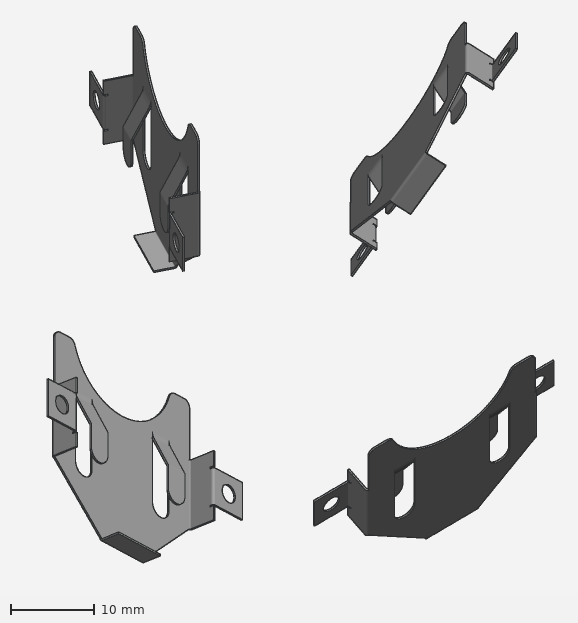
import cadquery as cq
import math


thickness = 0.25
fold_inner_radius = 0.1
fold_size = fold_inner_radius + thickness

overall_width = 35.55
overall_depth = 3.95
overall_height = 25.4

flange_outer_x = 12.7
plate_half_width = flange_outer_x - fold_size
plate_top = overall_height / 2
plate_bottom = -overall_height / 2 + fold_size
notch_radius = 9.15
notch_bottom = 5.75
corner_radius = 1.0

lip_width = 7.6
lip_depth = 3.0

flange_top = 4.75
flange_bottom = -4.65

ear_height = 5.05
ear_hole_diameter = 2.4
ear_hole_x = 15.25
relief_width = 0.18
relief_depth = 0.57

finger_x = 7.05
finger_width = 3.02
finger_top = 5.83
finger_tip = -4.2
finger_reach = 2.77
finger_angle = 27.5
finger_root_radius = 2.05
slot_bottom = -5.2


def straight(length):
    """Flat stretch of a strip."""
    return length, 0, 0


def bend(angle, inner_radius):
    """Curved stretch of a strip; a positive angle turns left."""
    return 0, angle, inner_radius + thickness / 2


def strip_profile(plane, start, heading, steps):
    """Closed edge-on outline of a sheet strip whose middle line follows the steps."""

    def side_point(point, direction, side):
        offset = side * thickness / 2
        return point[0] - offset * math.sin(direction), point[1] + offset * math.cos(direction)

    def advance(point, direction, length, turn, radius):
        chord = length if turn == 0 else 2 * radius * math.sin(abs(turn) / 2)
        chord_direction = direction + turn / 2
        end = (
            point[0] + chord * math.cos(chord_direction),
            point[1] + chord * math.sin(chord_direction),
        )
        return end, direction + turn

    frame = (start, math.radians(heading))
    stretches = []
    for length, angle, radius in steps:
        turn = math.radians(angle)
        middle = advance(*frame, length / 2, turn / 2, radius)
        end = advance(*frame, length, turn, radius)
        stretches.append((frame, middle, end, angle != 0))
        frame = end

    def trace(outline, middle, end, curved, side):
        if curved:
            return outline.threePointArc(side_point(*middle, side), side_point(*end, side))
        return outline.lineTo(*side_point(*end, side))

    outline = cq.Workplane(plane).moveTo(*side_point(*stretches[0][0], 1))
    for _, middle, end, curved in stretches:
        outline = trace(outline, middle, end, curved, 1)
    outline = outline.lineTo(*side_point(*frame, -1))
    for begin, middle, _, curved in reversed(stretches):
        outline = trace(outline, middle, begin, curved, -1)
    return outline.close()


def make_plate():
    outline = (
        cq.Workplane("XZ")
        .moveTo(-lip_width / 2, plate_bottom)
        .lineTo(lip_width / 2, plate_bottom)
        .lineTo(plate_half_width, flange_bottom)
        .lineTo(plate_half_width, plate_top)
        .lineTo(-plate_half_width, plate_top)
        .lineTo(-plate_half_width, flange_bottom)
        .close()
    )
    plate = outline.extrude(thickness)
    notch = (
        cq.Workplane("XZ")
        .center(0, notch_bottom + notch_radius)
        .circle(notch_radius)
        .extrude(thickness)
    )
    top_corners = cq.selectors.BoxSelector(
        (-plate_half_width - thickness, -2 * thickness, plate_top - thickness),
        (plate_half_width + thickness, thickness, plate_top + thickness),
    )
    return plate.cut(notch).edges("|Y").edges(top_corners).fillet(corner_radius)


def make_lip():
    start = (-thickness / 2, plate_bottom)
    steps = [bend(-90, fold_inner_radius), straight(lip_depth - fold_size)]
    return strip_profile("YZ", start, -90, steps).extrude(lip_width / 2, both=True)


def make_right_flange():
    start = (plate_half_width, -thickness / 2)
    flange_steps = [bend(-90, fold_inner_radius), straight(overall_depth - fold_size)]
    flange = (
        strip_profile("XY", start, 0, flange_steps)
        .extrude(flange_top - flange_bottom)
        .translate((0, 0, flange_bottom))
    )
    relief = (
        cq.Workplane("XY")
        .box(2 * fold_size, 2 * relief_depth, ear_height + 2 * relief_width)
        .translate((flange_outer_x, -overall_depth, 0))
    )

    ear_length = overall_width / 2 - (flange_outer_x - thickness + fold_size)
    ear_steps = [
        bend(-90, fold_inner_radius),
        straight(overall_depth - 2 * fold_size),
        bend(90, fold_inner_radius),
        straight(ear_length),
    ]
    ear = strip_profile("XY", start, 0, ear_steps).extrude(ear_height / 2, both=True)
    hole = (
        cq.Workplane("XZ")
        .center(ear_hole_x, 0)
        .circle(ear_hole_diameter / 2)
        .extrude(overall_depth)
    )
    return flange.cut(relief).union(ear.cut(hole))


def round_ended_block(top, bottom):
    """Block of finger width with a flat top and a full-round bottom, through the whole depth."""
    radius = finger_width / 2
    return (
        cq.Workplane("XZ")
        .moveTo(-radius, top)
        .lineTo(-radius, bottom + radius)
        .threePointArc((0, bottom), (radius, bottom + radius))
        .lineTo(radius, top)
        .close()
        .extrude(overall_depth)
    )


def make_finger():
    slope = math.radians(finger_angle)
    radii_sum = finger_root_radius + fold_inner_radius + thickness
    slope_offset = finger_reach - thickness - radii_sum * (1 - math.cos(slope))
    slope_length = slope_offset / math.sin(slope)
    bent_height = radii_sum * math.sin(slope) + slope_length * math.cos(slope)
    steps = [
        bend(-finger_angle, finger_root_radius),
        straight(slope_length),
        bend(finger_angle, fold_inner_radius),
        straight(finger_top - bent_height - finger_tip),
    ]
    start = (-thickness / 2, finger_top)
    strip = strip_profile("YZ", start, -90, steps).extrude(finger_width / 2, both=True)
    return strip.intersect(round_ended_block(finger_top, finger_tip))


right_flange = make_right_flange()
result = make_plate().union(make_lip())
result = result.union(right_flange).union(right_flange.mirror("YZ"))

slot = round_ended_block(finger_top, slot_bottom)
finger = make_finger()
for x in (-finger_x, finger_x):
    result = result.cut(slot.translate((x, 0, 0))).union(finger.translate((x, 0, 0)))